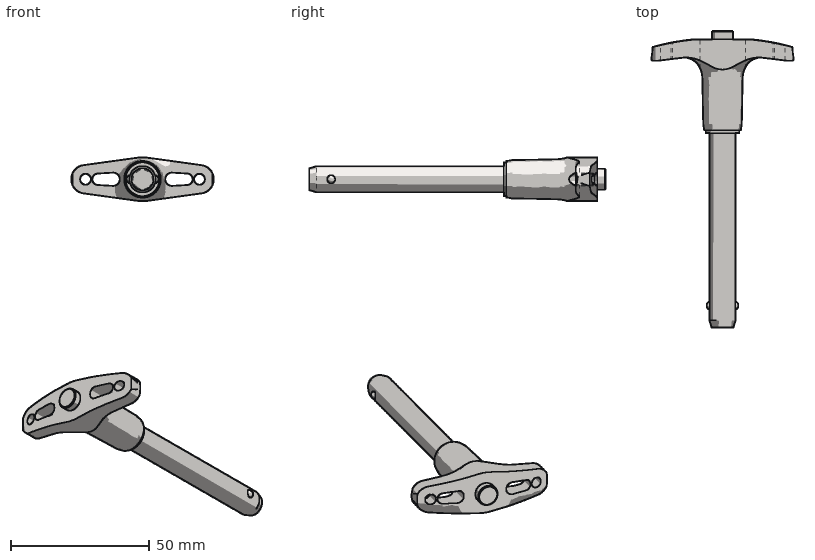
import cadquery as cq
import math

length = 107.1

shank_radius = 9.5 / 2
tip_radius = 4.0
tip_length = 2.6
ball_radius = 1.5
ball_offset = 4.3
ball_y = 7.9

collar_radius = 6.1
collar_y = 70.2
barrel_y = 71.2
barrel_lip_radius = 6.6
barrel_edge_y = 73.4
barrel_lower_radius = 14.0 / 2
barrel_upper_y = 90.5
barrel_upper_radius = 14.7 / 2
neck_y = 92.2
neck_radius = 7.6

flare_radius = 14.2
flare_y = 97.5
flare_bulge = 1.4
underside_radius = 24.0
underside_y = 96.2
handle_top_y = 104.1
flat_top_radius = 11.0
crown_mid_radius = 18.7
crown_mid_y = 102.9
rim_top_radius = 25.3
rim_top_y = 101.3
rim_corner = 0.5

handle_half_length = 51.5 / 2
handle_half_width = 7.9
center_flat_half = 2.2 / 2
end_radius = 10.4 / 2
end_center_x = handle_half_length - end_radius

eyelet_radius = 1.9
slot_inner_radius = 2.4
slot_outer_radius = 2.0
slot_start_x = 8.2
slot_end_x = 18.1
slot_inner_x = slot_start_x + slot_inner_radius
slot_outer_x = slot_end_x - slot_outer_radius

button_radius = 7.6 / 2
button_chamfer = 0.3


def extrude_along_pin(sketch):
    """Extrude an XZ sketch over the full pin length, from y = 0 to y = length."""
    return sketch.extrude(-length)


def revolve_about_pin(profile):
    """Revolve a closed profile of radius against y about the Y axis."""
    return profile.close().revolve(360, (0, 0, 0), (0, 1, 0))


def pin_body():
    profile = cq.Workplane("XY").polyline([
        (0, 0),
        (tip_radius, 0),
        (shank_radius, tip_length),
        (shank_radius, collar_y),
        (collar_radius, collar_y),
        (collar_radius, barrel_y),
        (barrel_lip_radius, barrel_y),
        (barrel_lower_radius, barrel_edge_y),
        (barrel_upper_radius, barrel_upper_y),
        (neck_radius, neck_y),
        (0, neck_y),
    ])
    return revolve_about_pin(profile)


def handle_envelope():
    """Crowned top, sloped underside and a flare that runs into the barrel."""
    chord_x = flare_radius - neck_radius
    chord_y = flare_y - neck_y
    chord = math.hypot(chord_x, chord_y)
    flare_mid = (
        neck_radius + chord_x / 2 - flare_bulge * chord_y / chord,
        neck_y + chord_y / 2 + flare_bulge * chord_x / chord,
    )
    profile = (
        cq.Workplane("XY")
        .moveTo(0, neck_y)
        .lineTo(neck_radius, neck_y)
        .threePointArc(flare_mid, (flare_radius, flare_y))
        .lineTo(underside_radius, underside_y)
        .lineTo(handle_half_length - rim_corner, underside_y)
        .lineTo(handle_half_length, underside_y + rim_corner)
        .lineTo(rim_top_radius, rim_top_y)
        .threePointArc((crown_mid_radius, crown_mid_y), (flat_top_radius, handle_top_y))
        .lineTo(0, handle_top_y)
    )
    return revolve_about_pin(profile)


def handle_outline():
    """Tapered arms whose sides run tangent into the rounded ends."""
    run = end_center_x - center_flat_half
    corner_distance = math.hypot(run, handle_half_width)
    corner_angle = math.atan2(handle_half_width, -run)
    tangent_angle = corner_angle - math.acos(end_radius / corner_distance)
    tangent_x = end_center_x + end_radius * math.cos(tangent_angle)
    tangent_z = end_radius * math.sin(tangent_angle)
    sketch = (
        cq.Workplane("XZ")
        .moveTo(-center_flat_half, handle_half_width)
        .lineTo(center_flat_half, handle_half_width)
        .lineTo(tangent_x, tangent_z)
        .threePointArc((handle_half_length, 0), (tangent_x, -tangent_z))
        .lineTo(center_flat_half, -handle_half_width)
        .lineTo(-center_flat_half, -handle_half_width)
        .lineTo(-tangent_x, -tangent_z)
        .threePointArc((-handle_half_length, 0), (-tangent_x, tangent_z))
        .close()
    )
    return extrude_along_pin(sketch)


def arm_openings(side):
    """Round eyelet and tapered slot; side is +1 or -1 along X."""
    eyelet = cq.Workplane("XZ").center(side * end_center_x, 0).circle(eyelet_radius)
    slot = (
        cq.Workplane("XZ")
        .moveTo(side * slot_inner_x, slot_inner_radius)
        .lineTo(side * slot_outer_x, slot_outer_radius)
        .threePointArc(
            (side * slot_end_x, 0),
            (side * slot_outer_x, -slot_outer_radius),
        )
        .lineTo(side * slot_inner_x, -slot_inner_radius)
        .threePointArc(
            (side * slot_start_x, 0),
            (side * slot_inner_x, slot_inner_radius),
        )
        .close()
    )
    return extrude_along_pin(eyelet).union(extrude_along_pin(slot))


def push_button():
    button = (
        cq.Workplane("XZ", origin=(0, neck_y, 0))
        .circle(button_radius)
        .extrude(neck_y - length)
    )
    return button.faces(">Y").chamfer(button_chamfer)


handle = handle_envelope().intersect(handle_outline())
for side in (-1, 1):
    handle = handle.cut(arm_openings(side))

result = pin_body().union(handle).union(push_button())
for side in (-1, 1):
    locking_ball = cq.Workplane("XY").sphere(ball_radius)
    result = result.union(locking_ball.translate((side * ball_offset, ball_y, 0)))